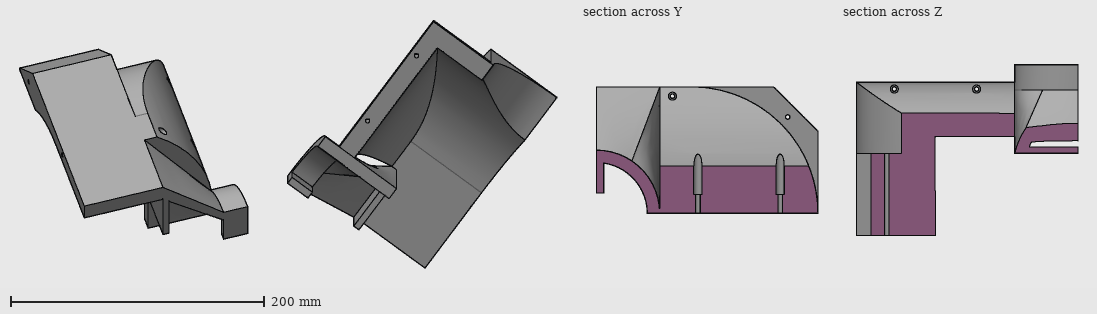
import cadquery as cq
import math

length = 175.0
height = 100.0
slab_depth = 65.0
corner_chamfer = 35.0
wall = 15.0

hood_back = 121.1
hood_radius = 131.8
hood_center_y = hood_back - hood_radius
hood_end = 125.0
arch_radius = height - wall
front_arch_radius = 62.3

duct_wall = 10.0
duct_radius = length - hood_end
duct_bore_radius = duct_radius - duct_wall
duct_round_start = 115.0
duct_mouth = 135.0
outer_corner_angle = 56.0
bore_corner_angle = 58.5

plate_thickness = 5.0
tab_width = 6.0
tab_bottom = 16.0

screw_diameter = 3.3
head_diameter = 6.3
slab_screws = [(24.0, 76.1), (115.0, 92.5)]
slab_head_seat = 75.0
hood_screws = [(30.0, 115.7), (94.8, 115.7)]
hood_head_seat = 15.0


def box(x0, x1, y0, y1, z0, z1):
    return cq.Workplane("XY").box(x1 - x0, y1 - y0, z1 - z0, centered=False).translate((x0, y0, z0))


def along_x(x0, x1, center_y, radius):
    """Cylinder along X whose axis lies on the base plane."""
    return cq.Workplane("YZ", origin=(x0, center_y, 0)).circle(radius).extrude(x1 - x0)


def along_y(x, z, diameter, y0, y1):
    return cq.Workplane("XZ", origin=(x, y0, z)).circle(diameter / 2).extrude(y0 - y1)


def along_z(x, y, diameter, z0, z1):
    return cq.Workplane("XY", origin=(x, y, z0)).circle(diameter / 2).extrude(z1 - z0)


def arched_profile(radius, y0, y1):
    """Quarter round rising from the left end, continued straight to the hood end."""
    crown_x = height
    diagonal = radius * math.sqrt(0.5)
    return (
        cq.Workplane("XZ", origin=(0, y0, 0))
        .moveTo(crown_x - radius, 0)
        .threePointArc((crown_x - diagonal, diagonal), (crown_x, radius))
        .lineTo(hood_end, radius)
        .lineTo(hood_end, 0)
        .close()
        .extrude(y0 - y1)
    )


def duct_solid(radius, entry_height, corner_angle):
    """Rectangle blending into a quarter round, followed by a straight quarter round."""

    def arc_point(degrees):
        angle = math.radians(degrees)
        return (-radius * math.cos(angle), radius * math.sin(angle))

    blend = (
        cq.Workplane("XZ", origin=(length, slab_depth, 0))
        .polyline([(0, 0), (-radius, 0), (-radius, entry_height), (0, entry_height)])
        .close()
        .workplane(offset=slab_depth - duct_round_start)
        .moveTo(0, 0)
        .lineTo(-radius, 0)
        .threePointArc(arc_point(corner_angle / 2), arc_point(corner_angle))
        .threePointArc(arc_point((corner_angle + 90) / 2), (0, radius))
        .close()
        .loft(ruled=True, combine=True)
    )
    straight = (
        cq.Workplane("XZ", origin=(length, duct_round_start, 0))
        .moveTo(0, 0)
        .lineTo(-radius, 0)
        .threePointArc(arc_point(45), (0, radius))
        .close()
        .extrude(duct_round_start - duct_mouth)
    )
    return blend.union(straight)


slab = (
    cq.Workplane("XZ")
    .polyline([
        (0, 0),
        (0, height - corner_chamfer),
        (corner_chamfer, height),
        (length, height),
        (length, 0),
    ])
    .close()
    .extrude(-slab_depth)
    .cut(arched_profile(arch_radius, 0, slab_depth))
    .cut(box(hood_end, length, 0, slab_depth, 0, arch_radius))
    .cut(along_x(0, hood_end, 0, front_arch_radius))
)

hood = arched_profile(height, slab_depth, hood_back).intersect(
    along_x(0, hood_end, hood_center_y, hood_radius)
)
hood_cavity = arched_profile(arch_radius, slab_depth, hood_back).intersect(
    along_x(0, hood_end, hood_center_y, hood_radius - wall)
)
hood = hood.cut(hood_cavity)

duct_envelope = duct_solid(duct_radius, height, outer_corner_angle)
duct = duct_envelope.cut(duct_solid(duct_bore_radius, arch_radius, bore_corner_angle))
plate_back = slab_depth + plate_thickness
plate = box(hood_end, length, slab_depth, plate_back, duct_bore_radius, arch_radius)
plate = plate.intersect(duct_envelope)

tab_top = duct_radius - duct_wall / 2
tab = box(length - tab_width, length, duct_round_start, duct_mouth, tab_bottom, tab_top)

result = slab.union(hood).union(duct).union(plate).union(tab)

for x, z in slab_screws:
    result = result.cut(along_y(x, z, screw_diameter, 0, hood_back))
    if z > arch_radius:
        result = result.cut(along_y(x, z, head_diameter, slab_head_seat, hood_back))

for x, y in hood_screws:
    result = result.cut(along_z(x, y, screw_diameter, 0, height))
    result = result.cut(along_z(x, y, head_diameter, hood_head_seat, height))